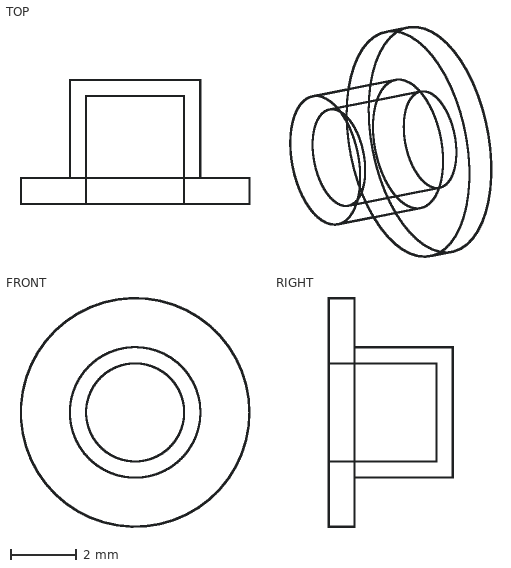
import cadquery as cq

flange_diameter = 7.0
flange_thickness = 0.8
sleeve_diameter = 4.0
bore_diameter = 3.0
total_length = 3.8

end_wall = (sleeve_diameter - bore_diameter) / 2
bore_depth = total_length - end_wall


def cylinder_along_y(diameter, length):
    """Cylinder from the flange face (Y = 0) toward +Y."""
    return cq.Workplane("XZ").circle(diameter / 2).extrude(-length)


flange = cylinder_along_y(flange_diameter, flange_thickness)
sleeve = cylinder_along_y(sleeve_diameter, total_length)
bore = cylinder_along_y(bore_diameter, bore_depth)

result = flange.union(sleeve).cut(bore)